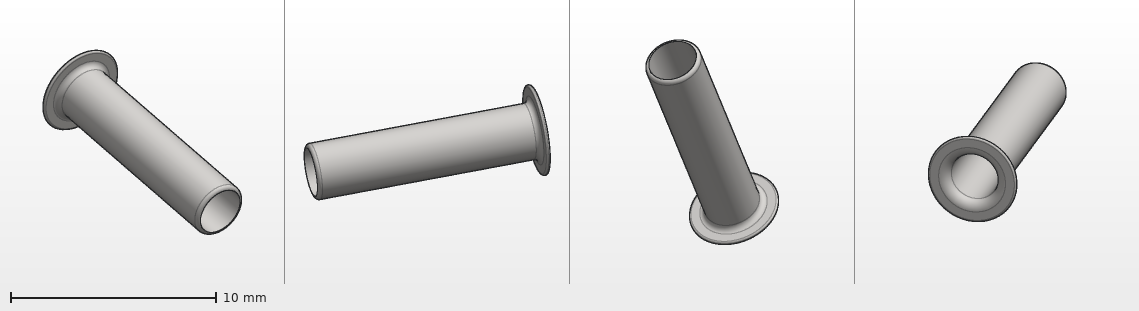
import cadquery as cq
import math

length = 11.5
flange_diameter = 4.5
bore_diameter = 2.4
wall = 0.2
bore_flare_radius = 0.5
tip_round = 0.2

flange_radius = flange_diameter / 2
bore_radius = bore_diameter / 2
tube_radius = bore_radius + wall
rim_round = wall / 2
outer_flare_radius = bore_flare_radius - wall

flare_x = bore_flare_radius
flare_r = bore_radius + bore_flare_radius
diagonal = math.sqrt(0.5)


def flare_midpoint(radius):
    """Middle of a quarter arc about the flare centre, on the side facing the axis and flange."""
    return (flare_x - radius * diagonal, flare_r - radius * diagonal)


def wall_profile():
    """Half section of the tube wall: X along the axis, Y as distance from the axis."""
    rim_inset = rim_round * (1 - diagonal)
    tip_inset = tip_round * (1 - diagonal)
    return (
        cq.Workplane("XY")
        .moveTo(length, bore_radius)
        .lineTo(flare_x, bore_radius)
        .threePointArc(flare_midpoint(bore_flare_radius), (0, flare_r))
        .lineTo(0, flange_radius - rim_round)
        .threePointArc((rim_inset, flange_radius - rim_inset), (rim_round, flange_radius))
        .threePointArc((wall - rim_inset, flange_radius - rim_inset), (wall, flange_radius - rim_round))
        .lineTo(wall, flare_r)
        .threePointArc(flare_midpoint(outer_flare_radius), (flare_x, tube_radius))
        .lineTo(length - tip_round, tube_radius)
        .threePointArc((length - tip_inset, tube_radius - tip_inset), (length, tube_radius - tip_round))
        .close()
    )


result = wall_profile().revolve(360, (0, 0, 0), (1, 0, 0))